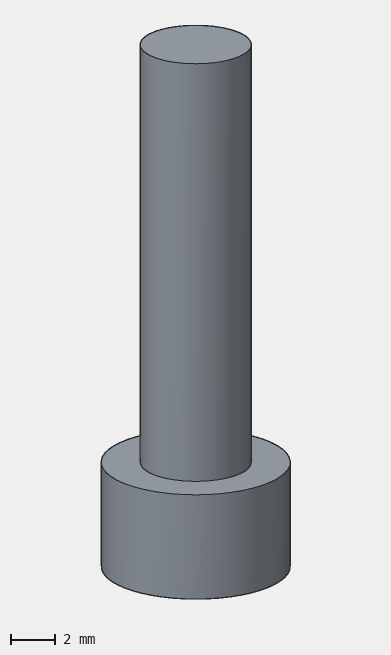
import cadquery as cq

total_length = 25.0
shank_diameter = 5.0
head_diameter = 8.5
head_height = shank_diameter
shank_length = total_length - head_height

head = cq.Workplane("XY").circle(head_diameter / 2).extrude(head_height)

result = head.faces(">Z").workplane().circle(shank_diameter / 2).extrude(shank_length)